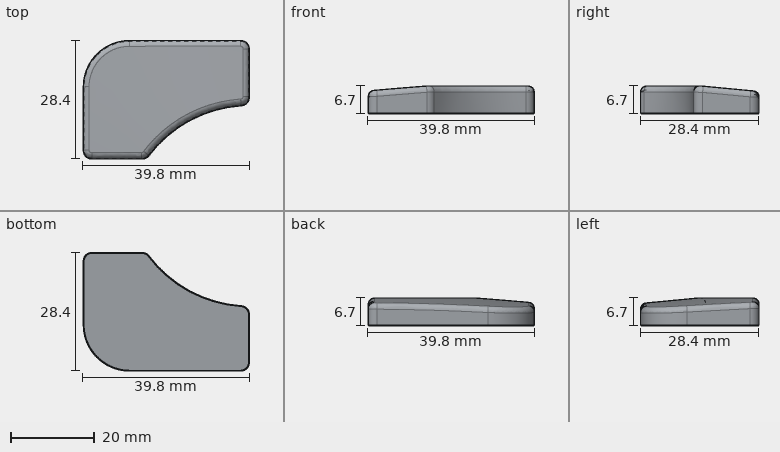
import cadquery as cq
import math

length = 39.8
width = 28.4

back_left_radius = 11.15
corner_radius = 4.25 / 2
notch_radius = 30.1
notch_center_x = length
notch_center_y = -17.27

notch_edge_height = 6.85
top_slope = 0.095

top_fillet = 1.5
bottom_chamfer = 0.2


def outline_prism(height):
    """Plate with a large back-left arc and a concave notch at front right."""
    notch_start_x = notch_center_x - math.sqrt(notch_radius**2 - notch_center_y**2)
    notch_end_y = notch_center_y + notch_radius
    start_angle = math.atan2(-notch_center_y, notch_start_x - notch_center_x)
    middle_angle = (start_angle + math.pi / 2) / 2
    notch_middle = (
        notch_center_x + notch_radius * math.cos(middle_angle),
        notch_center_y + notch_radius * math.sin(middle_angle),
    )
    plate = (
        cq.Workplane("XY")
        .lineTo(notch_start_x, 0)
        .threePointArc(notch_middle, (length, notch_end_y))
        .lineTo(length, width)
        .lineTo(0, width)
        .close()
        .extrude(height)
    )
    back_left_edge = cq.selectors.NearestToPointSelector((0, width, height / 2))
    plate = plate.edges(back_left_edge).fillet(back_left_radius)
    corners = [(0, 0), (notch_start_x, 0), (length, notch_end_y), (length, width)]
    for x, y in corners:
        corner_edge = cq.selectors.NearestToPointSelector((x, y, height / 2))
        plate = plate.edges(corner_edge).fillet(corner_radius)
    return plate


def cone_envelope():
    """Solid cone around the notch axis, wide enough to cover the plate."""
    reach = 2 * length
    apex_height = notch_edge_height + top_slope * notch_radius
    return (
        cq.Workplane("XZ")
        .lineTo(reach, 0)
        .lineTo(reach, apex_height - top_slope * reach)
        .lineTo(0, apex_height)
        .close()
        .revolve(360, (0, 0), (0, 1))
        .translate((notch_center_x, notch_center_y, 0))
    )


plate = outline_prism(2 * notch_edge_height).intersect(cone_envelope())
plate = plate.faces("%CONE").edges().fillet(top_fillet)
result = plate.faces("<Z").edges().chamfer(bottom_chamfer)

result = result.translate((-length / 2, -width / 2, 0))